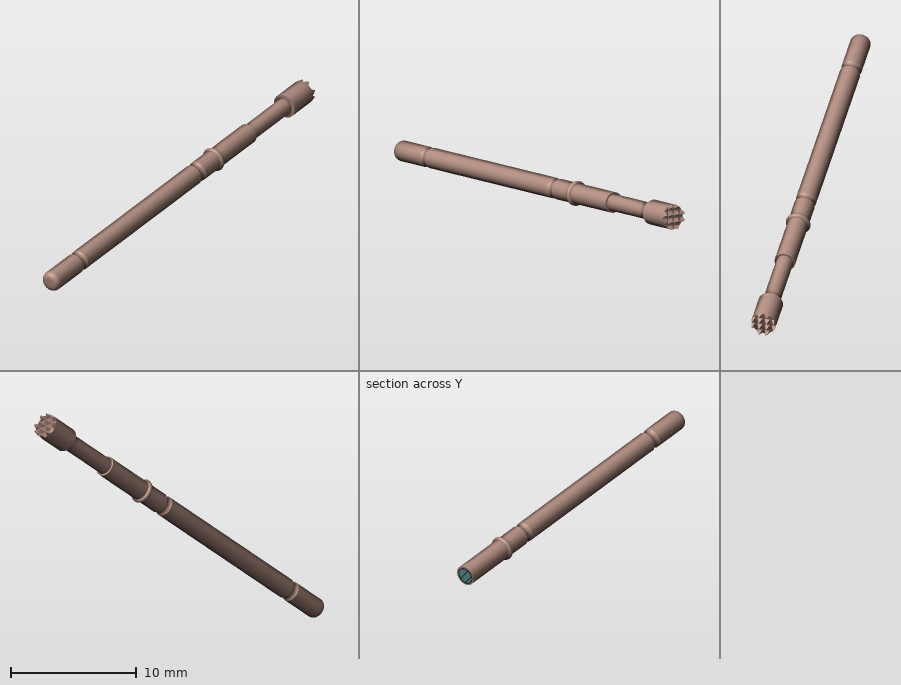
import cadquery as cq
import math

total_length = 35.4
head_radius = 1.0
head_length = 3.0
plunger_radius = 0.68
barrel_start = 8.0
barrel_radius = 0.83
collar_station = 12.75
collar_radius = 1.0
collar_bead_radius = 0.23
groove_stations = (15.28, 31.54)
groove_width = 0.64
groove_depth = 0.15
tail_flat_radius = 0.4
tail_round = barrel_radius - tail_flat_radius

tooth_pitch = 0.59
tooth_height = 0.43
valley_flat = 0.16
teeth_per_row = 4
crown_tip_radius = 0.94

full_turn = 360
quarter_turn = full_turn / 4

tip_y = collar_station


def make_plunger():
    """Plain stem between the head and the barrel."""
    stem = cq.Workplane("XZ", origin=(0, tip_y - head_length, 0)).circle(plunger_radius)
    return stem.extrude(barrel_start - head_length)


def revolve_profile(profile):
    """Turn a closed XY profile around the Y axis, with its seam facing +Z."""
    turned = profile.close().revolve(full_turn, (0, 0, 0), (0, 1, 0))
    return turned.rotate((0, 0, 0), (0, 1, 0), -quarter_turn)


def make_barrel():
    """Barrel with a square mouth and a rounded tail."""
    mouth_y = tip_y - barrel_start
    tail_y = tip_y - total_length
    arc_reach = tail_round * math.sqrt(0.5)
    arc_middle = (tail_flat_radius + arc_reach, tail_y + tail_round - arc_reach)
    return revolve_profile(
        cq.Workplane("XY")
        .moveTo(0, mouth_y)
        .lineTo(barrel_radius, mouth_y)
        .lineTo(barrel_radius, tail_y + tail_round)
        .threePointArc(arc_middle, (tail_flat_radius, tail_y))
        .lineTo(0, tail_y)
    )


def make_collar():
    """Round bead around the barrel."""
    bead_centre = collar_radius - collar_bead_radius
    return revolve_profile(
        cq.Workplane("XY")
        .moveTo(0, -collar_bead_radius)
        .lineTo(bead_centre, -collar_bead_radius)
        .threePointArc((collar_radius, 0), (bead_centre, collar_bead_radius))
        .lineTo(0, collar_bead_radius)
    )


def make_crimp_groove(station):
    """Shallow ring with an arc-shaped bottom to cut from the barrel."""
    centre_y = tip_y - station
    front_y = centre_y + groove_width / 2
    rear_y = centre_y - groove_width / 2
    front_quarter_y = (front_y + centre_y) / 2
    rear_quarter_y = (rear_y + centre_y) / 2
    neck_radius = barrel_radius - groove_depth
    quarter_rise = groove_depth / 4
    return revolve_profile(
        cq.Workplane("XY")
        .moveTo(barrel_radius, front_y)
        .threePointArc((neck_radius + quarter_rise, front_quarter_y), (neck_radius, centre_y))
        .threePointArc((neck_radius + quarter_rise, rear_quarter_y), (barrel_radius, rear_y))
        .lineTo(collar_radius, rear_y)
        .lineTo(collar_radius, front_y)
    )


def make_head():
    """Plain head whose front tapers in beside the teeth."""
    rear_y = tip_y - head_length
    return revolve_profile(
        cq.Workplane("XY")
        .moveTo(0, tip_y)
        .lineTo(crown_tip_radius, tip_y)
        .lineTo(head_radius, tip_y - tooth_height)
        .lineTo(head_radius, rear_y)
        .lineTo(0, rear_y)
    )


def make_crown_cut(offset):
    """Flat-bottomed V-section bar along Z, centred at the given X offset."""
    return (
        cq.Workplane("XY", origin=(offset, tip_y, 0))
        .moveTo(-tooth_pitch / 2, 0)
        .lineTo(-valley_flat / 2, -tooth_height)
        .lineTo(valley_flat / 2, -tooth_height)
        .lineTo(tooth_pitch / 2, 0)
        .close()
        .extrude(2 * head_radius, both=True)
    )


def make_corner_cut():
    """Block that clears one corner of the crown down to the tooth valleys."""
    block = cq.Workplane("XY").box(head_radius, tooth_height, head_radius, centered=False)
    return block.translate((tooth_pitch, tip_y - tooth_height, tooth_pitch))


def cut_crown(head):
    """Cut the crossing grooves and clear the corners at the front of the head."""
    for index in range(teeth_per_row + 1):
        cut = make_crown_cut((index - teeth_per_row / 2) * tooth_pitch)
        head = head.cut(cut)
        head = head.cut(cut.rotate((0, 0, 0), (0, 1, 0), quarter_turn))
    for quarter in range(4):
        head = head.cut(make_corner_cut().rotate((0, 0, 0), (0, 1, 0), quarter_turn * quarter))
    return head


head = cut_crown(make_head())
plunger = make_plunger()
barrel = make_barrel()
for station in groove_stations:
    barrel = barrel.cut(make_crimp_groove(station))

result = barrel.union(make_collar()).union(plunger).union(head)